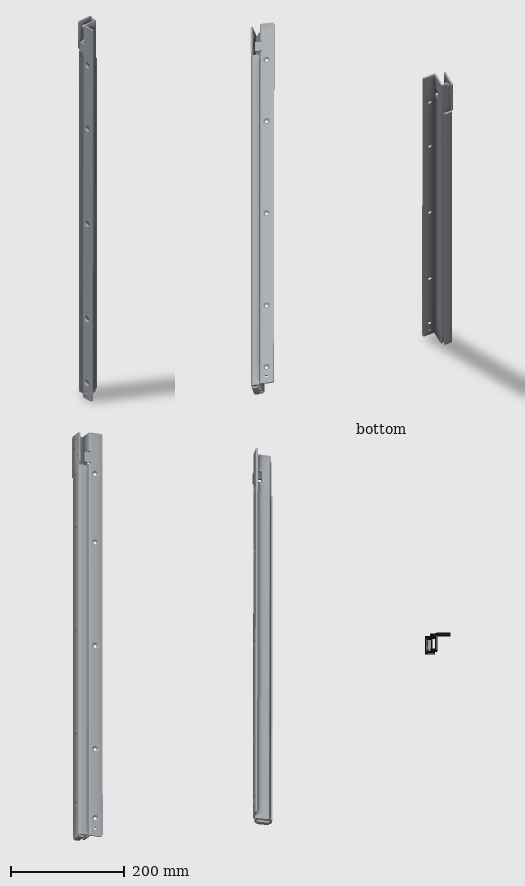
import cadquery as cq
import math

LENGTH = 750.0
DEPTH = 37.0
WIDTH = 43.0
CUT_MARGIN = 7.5

RAIL_SHEET = 3.0
RAIL_BEND = 4.5
RAIL_FRONT = 6.0
FLANGE_WIDTH = 16.0
FLANGE_BOTTOM = 4.0
FRONT_FLANGE_TOP = 690.0
REAR_FLANGE_TOP = 670.5
REAR_RELIEF = 4.0
FLANGE_CORNER = 4.0
HEAD_CHAMFER = 2.0
HEAD_TAPER = 6.0
FLAT_FRONT = RAIL_FRONT + RAIL_BEND
FLAT_REAR = DEPTH - RAIL_BEND
END_TAB_LENGTH = 11.0
END_TAB_BEND = 4.0
WEB_HOLE = 7.0
WEB_HOLE_Y = 22.0
WEB_HOLE_HEIGHTS = (65.0, 193.0, 385.0, 576.0, 673.5)
HEAD_HOLES = ((17.0, 736.5), (29.0, 723.0), (16.5, 707.0))

MOUNT_SHEET = 3.0
MOUNT_BEND = 3.4
MOUNT_LEFT = 17.0
MOUNT_REAR = 31.0
MOUNT_RIGHT = MOUNT_LEFT + MOUNT_SHEET
MOUNT_BOTTOM = 1.5
LIP_LEFT = 4.5
LIP_BOTTOM = 5.0
LIP_STEP_WIDTH = 4.0
LIP_STEP_DROP = 5.0
PLATE_LOWER_CORNER = 4.0
PLATE_UPPER_CORNER = 1.5
STOP_LEFT = 9.0
STOP_BOTTOM = 694.5
STOP_TOP = 713.0
WINDOW_DEPTH = 15.0
WINDOW_RELIEF = 2.0
SCREW_X = 29.0
SCREW_HEIGHTS = (34.5, 163.0, 355.0, 547.0, 674.0)
SCREW_HOLE = 6.0
SCREW_HEAD = 12.0
COUNTERSINK_ANGLE = 90.0
PIN_HOLE = 5.0
PIN_HEIGHT = 15.0
LEAN = 1.6
LEAN_ANGLE = math.degrees(math.asin(LEAN / LENGTH))


def block(x, y, z):
    """A box given by its (low, high) limits along each axis."""
    size = [limits[1] - limits[0] for limits in (x, y, z)]
    return cq.Workplane("XY").box(*size, centered=False).translate((x[0], y[0], z[0]))


def profile_bar(points, bottom, top):
    """A bar along Z with the given XY section."""
    return cq.Workplane("XY").workplane(offset=bottom).polyline(points).close().extrude(top - bottom)


def round_bend(bar, outer_corner, inner_corner, outer_radius, sheet):
    """Round both sides of a bend whose sharp corners are given in XY."""
    height = bar.val().Center().z
    for (x, y), radius in ((outer_corner, outer_radius), (inner_corner, outer_radius - sheet)):
        bar = bar.edges("|Z").edges(cq.NearestToPointSelector((x, y, height))).fillet(radius)
    return bar


def rail_channel():
    s = RAIL_SHEET
    channel = profile_bar(
        [
            (FLANGE_WIDTH, RAIL_FRONT),
            (0, RAIL_FRONT),
            (0, DEPTH),
            (FLANGE_WIDTH, DEPTH),
            (FLANGE_WIDTH, DEPTH - s),
            (s, DEPTH - s),
            (s, RAIL_FRONT + s),
            (FLANGE_WIDTH, RAIL_FRONT + s),
        ],
        FLANGE_BOTTOM,
        FRONT_FLANGE_TOP,
    )
    channel = round_bend(channel, (0, RAIL_FRONT), (s, RAIL_FRONT + s), RAIL_BEND, s)
    channel = round_bend(channel, (0, DEPTH), (s, DEPTH - s), RAIL_BEND, s)
    flange_corner = (FLANGE_WIDTH, RAIL_FRONT, FRONT_FLANGE_TOP)
    channel = channel.edges("|Y").edges(cq.NearestToPointSelector(flange_corner)).fillet(FLANGE_CORNER)
    above_rear_flange = block(
        (-CUT_MARGIN, FLANGE_WIDTH + CUT_MARGIN),
        (FLAT_REAR, DEPTH + CUT_MARGIN),
        (REAR_FLANGE_TOP, LENGTH),
    )
    return channel.cut(above_rear_flange)


def rail_head():
    """Flat upper end of the web, as wide as the whole channel."""
    head_bottom = REAR_FLANGE_TOP + REAR_RELIEF
    outline = [
        (FLAT_FRONT, head_bottom),
        (FLAT_FRONT, FRONT_FLANGE_TOP),
        (RAIL_FRONT, FRONT_FLANGE_TOP + HEAD_TAPER),
        (RAIL_FRONT, LENGTH - HEAD_CHAMFER),
        (RAIL_FRONT + HEAD_CHAMFER, LENGTH),
        (DEPTH - HEAD_CHAMFER, LENGTH),
        (DEPTH, LENGTH - HEAD_CHAMFER),
        (DEPTH, head_bottom),
    ]
    return cq.Workplane("YZ").polyline(outline).close().extrude(RAIL_SHEET)


def rail_end_tab():
    """Tab bent from the lower end of the web toward +X."""
    flat = (FLAT_FRONT, FLAT_REAR)
    foot = block((0, RAIL_SHEET), flat, (0, 2 * END_TAB_BEND))
    foot = foot.union(block((0, END_TAB_LENGTH), flat, (0, RAIL_SHEET)))
    return foot.edges("|Y and <X and <Z").fillet(END_TAB_BEND)


def web_holes():
    centres = [(WEB_HOLE_Y, z) for z in WEB_HOLE_HEIGHTS] + list(HEAD_HOLES)
    return cq.Workplane("YZ").pushPoints(centres).circle(WEB_HOLE / 2).extrude(RAIL_SHEET)


def make_drawer_rail():
    rail = rail_channel().union(rail_head()).union(rail_end_tab())
    return rail.cut(web_holes())


def mount_section():
    s = MOUNT_SHEET
    bar = profile_bar(
        [
            (WIDTH, 0),
            (MOUNT_LEFT, 0),
            (MOUNT_LEFT, MOUNT_REAR - s),
            (LIP_LEFT, MOUNT_REAR - s),
            (LIP_LEFT, MOUNT_REAR),
            (MOUNT_RIGHT, MOUNT_REAR),
            (MOUNT_RIGHT, s),
            (WIDTH, s),
        ],
        MOUNT_BOTTOM,
        LENGTH,
    )
    bar = round_bend(bar, (MOUNT_LEFT, 0), (MOUNT_RIGHT, s), MOUNT_BEND, s)
    bar = round_bend(bar, (MOUNT_RIGHT, MOUNT_REAR), (MOUNT_LEFT, MOUNT_REAR - s), MOUNT_BEND, s)
    bar = bar.edges("|Y and >X and <Z").fillet(PLATE_LOWER_CORNER)
    return bar.edges("|Y and >X and >Z").fillet(PLATE_UPPER_CORNER)


def lip_trim():
    """Material removed from the lower end and the upper left corner of the rear lip."""
    lip_inside = MOUNT_REAR - MOUNT_SHEET
    lip_depth = (lip_inside, MOUNT_REAR)
    corner = block((LIP_LEFT, LIP_LEFT + LIP_STEP_WIDTH), lip_depth, (LENGTH - LIP_STEP_DROP, LENGTH))
    lower_end = block((LIP_LEFT, MOUNT_LEFT), lip_depth, (0, LIP_BOTTOM))
    return corner.union(lower_end)


def screw_hole(height):
    """Countersunk hole through the mounting plate, widest at its front face."""
    face = cq.Workplane("XZ", origin=(SCREW_X, 0, height))
    bore = face.circle(SCREW_HOLE / 2).extrude(-MOUNT_SHEET)
    cone_depth = (SCREW_HEAD - SCREW_HOLE) / 2 / math.tan(math.radians(COUNTERSINK_ANGLE / 2))
    cone = cq.Solid.makeCone(
        SCREW_HEAD / 2, SCREW_HOLE / 2, cone_depth, cq.Vector(SCREW_X, 0, height), cq.Vector(0, 1, 0)
    )
    return bore.union(cq.Workplane(cone))


def make_mounting_rail():
    stop_heights = (STOP_BOTTOM, STOP_TOP)
    window_heights = (STOP_BOTTOM - WINDOW_RELIEF, STOP_TOP + WINDOW_RELIEF)
    stop_root = MOUNT_LEFT + MOUNT_BEND
    rail = mount_section().cut(lip_trim())
    rail = rail.cut(block((MOUNT_LEFT, stop_root), (0, WINDOW_DEPTH), window_heights))
    rail = rail.union(block((STOP_LEFT, stop_root), (0, MOUNT_SHEET), stop_heights))
    for height in SCREW_HEIGHTS:
        rail = rail.cut(screw_hole(height))
    pin_hole = cq.Workplane("XZ", origin=(SCREW_X, 0, PIN_HEIGHT)).circle(PIN_HOLE / 2)
    rail = rail.cut(pin_hole.extrude(-MOUNT_SHEET))
    return rail.rotate((0, 0, 0), (1, 0, 0), -LEAN_ANGLE)


drawer_rail = make_drawer_rail()
mounting_rail = make_mounting_rail()
result = cq.Compound.makeCompound([drawer_rail.val(), mounting_rail.val()])